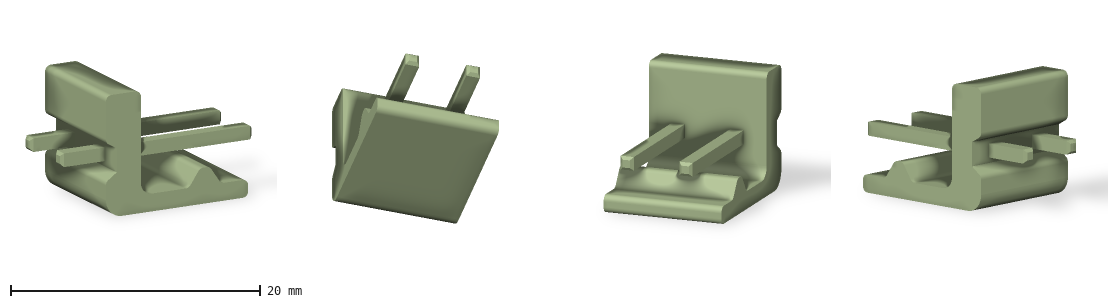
import cadquery as cq

pin_pitch = 5.08
pin_count = 2
width = 10.17
height = 10.2
depth = 13.0
wall_thickness = 3.2
base_thickness = 1.49

ridge_center_y = 9.05
ridge_top_z = 3.01
ridge_foot_half = 1.47
ridge_top_half = 0.44

groove_depth = 1.0
groove_floor_bottom = 3.7
groove_floor_top = 5.69
groove_mouth_bottom = 3.0
groove_mouth_top = 6.26

edge_radius = 0.5
inner_radius = 1.0
heel_radius = 1.49

pin_length = 17.5
pin_size = 1.14
pin_chamfer = 0.25
pin_front_y = -3.0
pin_z = 4.7


def edge_at(body, y, z):
    """Select the profile corner edge running along X at the given position."""
    tolerance = 0.02
    return body.edges(
        cq.selectors.BoxSelector(
            (-width, y - tolerance, z - tolerance),
            (width, y + tolerance, z + tolerance),
        )
    )


def make_housing():
    heel = (0, 0)
    inner_corner = (wall_thickness, base_thickness)
    base_and_ridge_corners = [
        (depth, 0),
        (depth, base_thickness),
        (ridge_center_y + ridge_foot_half, base_thickness),
        (ridge_center_y + ridge_top_half, ridge_top_z),
        (ridge_center_y - ridge_top_half, ridge_top_z),
        (ridge_center_y - ridge_foot_half, base_thickness),
    ]
    wall_corners = [(wall_thickness, height), (0, height), (0, groove_mouth_top)]
    groove_floor = [(groove_depth, groove_floor_top), (groove_depth, groove_floor_bottom)]
    lower_lip = (0, groove_mouth_bottom)
    outline = [
        heel,
        *base_and_ridge_corners,
        inner_corner,
        *wall_corners,
        *groove_floor,
        lower_lip,
    ]

    body = cq.Workplane("YZ").polyline(outline).close().extrude(width / 2, both=True)
    for y, z in [*base_and_ridge_corners, *wall_corners, lower_lip]:
        body = edge_at(body, y, z).fillet(edge_radius)
    body = edge_at(body, *inner_corner).fillet(inner_radius)
    return edge_at(body, *heel).fillet(heel_radius)


def make_pin(x):
    pin = cq.Workplane("XY").box(pin_size, pin_length, pin_size)
    pin = pin.faces("<Y or >Y").chamfer(pin_chamfer)
    return pin.translate((x, pin_front_y + pin_length / 2, pin_z))


result = make_housing()
for index in range(pin_count):
    pin_x = (index - (pin_count - 1) / 2) * pin_pitch
    result = result.union(make_pin(pin_x))